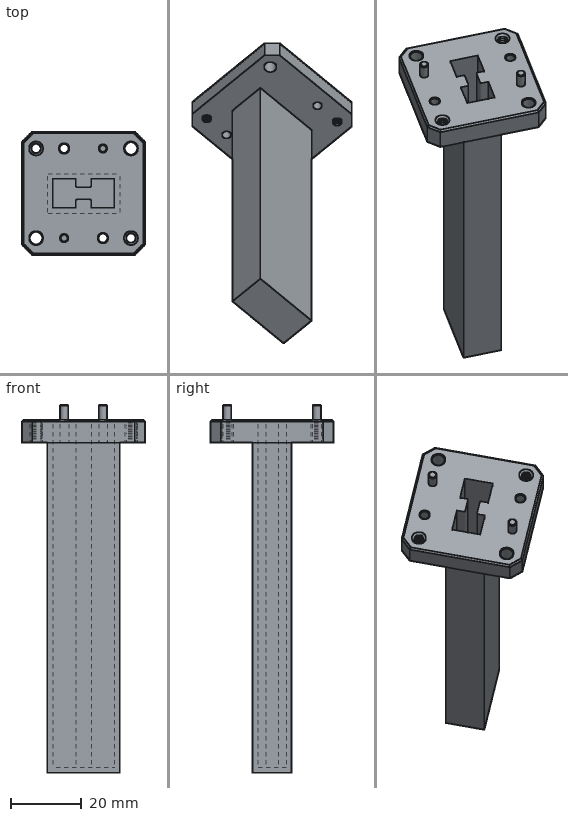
import cadquery as cq

total_height = 104.3
pin_height = 4.3

flange_side = 35.0
flange_thickness = 6.4
corner_cut = 3.0
rim_chamfer = 0.5

guide_width = 17.55
guide_height = 8.15
ridge_width = 4.39
ridge_gap = 3.45
ridge_edge_radius = 0.4
wall = 1.52
tube_width = guide_width + 2 * wall
tube_depth = guide_height + 2 * wall
tube_length = total_height - pin_height - flange_thickness
guide_depth = flange_thickness + tube_length - wall

hole_row_y = 12.7
screw_x = 13.45
pin_x = 5.5
clearance_diameter = 3.5
thread_major_diameter = clearance_diameter
thread_minor_diameter = 2.6
thread_pitch = 0.79
screw_mouth_diameter = 4.0
pin_diameter = 2.38
pin_tip_chamfer = 0.25
pin_hole_diameter = 2.5
pin_hole_mouth_diameter = 3.0


def make_flange():
    """Square plate with cut corners and a chamfered rim on the mating face."""
    plate = cq.Workplane("XY").box(flange_side, flange_side, flange_thickness, centered=(True, True, False))
    plate = plate.translate((0, 0, -flange_thickness))
    return plate.edges("|Z").chamfer(corner_cut).faces(">Z").chamfer(rim_chamfer)


def make_tube():
    """Solid outer block of the waveguide tube, below the flange."""
    return (
        cq.Workplane("XY")
        .workplane(offset=-flange_thickness)
        .rect(tube_width, tube_depth)
        .extrude(-tube_length)
    )


def make_guide_cavity():
    """Blind double-ridge channel: a rectangle less two opposed ridges with rounded tips."""
    cavity = cq.Workplane("XY").rect(guide_width, guide_height).extrude(-guide_depth)
    ridge_height = (guide_height - ridge_gap) / 2
    for side, tip_edges in ((1, "|Z and <Y"), (-1, "|Z and >Y")):
        ridge = (
            cq.Workplane("XY")
            .center(0, side * (ridge_gap + ridge_height) / 2)
            .rect(ridge_width, ridge_height)
            .extrude(-guide_depth)
            .edges(tip_edges)
            .fillet(ridge_edge_radius)
        )
        cavity = cavity.cut(ridge)
    return cavity


def revolve_about_z(profile):
    """Body of revolution about Z from a closed list of (radius, height) points."""
    return cq.Workplane("XZ").polyline(profile).close().revolve(360, (0, 0), (0, 1))


def make_hole(x, y, diameter, mouth_diameter):
    """Cutter for a hole through the flange with a 45 degree countersunk mouth."""
    radius = diameter / 2
    mouth_radius = mouth_diameter / 2
    mouth_depth = mouth_radius - radius
    profile = [
        (0, 0),
        (mouth_radius, 0),
        (radius, -mouth_depth),
        (radius, -flange_thickness),
        (0, -flange_thickness),
    ]
    return revolve_about_z(profile).translate((x, y, 0))


def make_tapped_hole(x, y):
    """Cutter for a tapped hole: a countersunk mouth over ring-shaped V grooves at the thread pitch."""
    minor_radius = thread_minor_diameter / 2
    major_radius = thread_major_diameter / 2
    mouth_radius = screw_mouth_diameter / 2
    mouth_depth = mouth_radius - major_radius
    profile = [(0, 0), (mouth_radius, 0)]
    ring_count = int((flange_thickness - mouth_depth) / thread_pitch)
    for ring in range(ring_count):
        groove_depth = mouth_depth + ring * thread_pitch
        profile.append((major_radius, -groove_depth))
        profile.append((minor_radius, -groove_depth - thread_pitch / 2))
    profile.append((minor_radius, -flange_thickness))
    profile.append((0, -flange_thickness))
    return revolve_about_z(profile).translate((x, y, 0))


def make_pin(x, y):
    """Alignment pin standing on the mating face, chamfered at its tip."""
    pin = cq.Workplane("XY").circle(pin_diameter / 2).extrude(pin_height)
    return pin.faces(">Z").chamfer(pin_tip_chamfer).translate((x, y, 0))


result = make_flange().union(make_tube()).cut(make_guide_cavity())

for turn in (1, -1):
    x_screw = turn * screw_x
    x_pin = turn * pin_x
    y_row = turn * hole_row_y
    result = result.cut(make_hole(x_screw, y_row, clearance_diameter, screw_mouth_diameter))
    result = result.cut(make_tapped_hole(-x_screw, y_row))
    result = result.cut(make_hole(-x_pin, y_row, pin_hole_diameter, pin_hole_mouth_diameter))
    result = result.union(make_pin(x_pin, y_row))